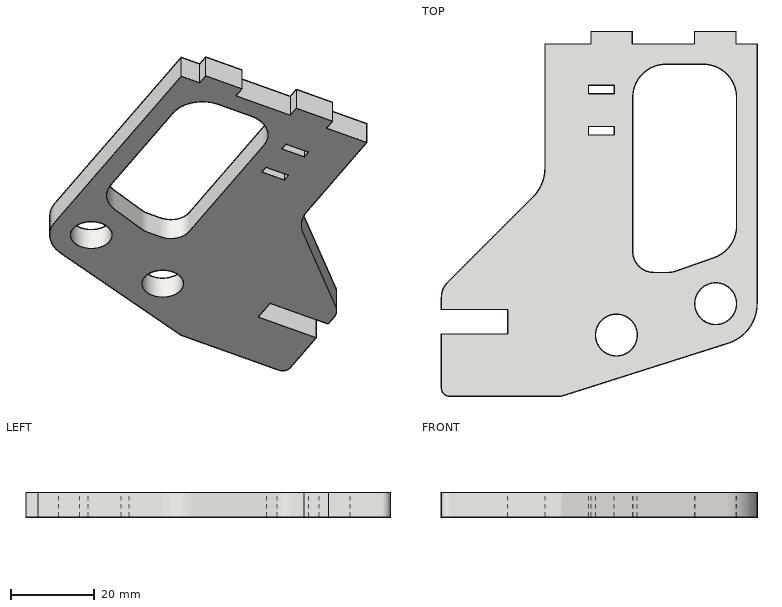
import cadquery as cq
import math

width = 76.0
height = 87.8
thickness = 6.0
tab_height = 3.0
shoulder_y = height - tab_height
neck_x = 24.9
slope_start_y = 25.9
slope_end_y = slope_start_y + neck_x
flank_top_radius = 10.0
flank_bottom_radius = 5.0
foot_length = 28.9
foot_radius = 2.0

tab_width = 10.0
tab_left_edges = (36.0, 60.9)

hole_diameter = 10.0
corner_radius = 10.0
right_hole = (width - corner_radius, 22.3)
left_hole = (42.15, 14.75)

notch_depth = 16.0
notch_bottom_y = 15.0
notch_height = 5.9

slot_length = 6.15
slot_height = 2.0
slot_center_x = 38.55
slot_centers_y = (73.8, 63.9)

window_left = 46.1
window_right = 71.0
window_top = 79.9
window_bottom = 29.85
window_slope_x = 55.6
window_slope_y = 35.3
window_large_radius = 8.0
window_small_radius = 5.0


def prism(points):
    return cq.Workplane("XY").polyline(points).close().extrude(thickness)


def block(left, bottom, length, depth):
    return cq.Workplane("XY").box(length, depth, thickness, centered=False).translate((left, bottom, 0))


def round_corner(body, point, radius):
    """Fillet the vertical edge standing on the given XY point."""
    nearest = cq.selectors.NearestToPointSelector((*point, thickness / 2))
    return body.edges("|Z").edges(nearest).fillet(radius)


def make_plate():
    run = right_hole[0] - foot_length
    rise = right_hole[1]
    edge_angle = math.atan2(rise, run) - math.asin(corner_radius / math.hypot(run, rise))
    right_corner_y = (width - foot_length) * math.tan(edge_angle)

    corner_radii = {
        (0, 0): foot_radius,
        (foot_length, 0): foot_radius,
        (width, right_corner_y): corner_radius,
        (width, shoulder_y): 0,
        (neck_x, shoulder_y): 0,
        (neck_x, slope_end_y): flank_top_radius,
        (0, slope_start_y): flank_bottom_radius,
    }
    return rounded_prism(corner_radii)


def make_window():
    corner_radii = {
        (window_left, window_bottom): window_small_radius,
        (window_slope_x, window_bottom): window_small_radius,
        (window_right, window_slope_y): window_large_radius,
        (window_right, window_top): window_large_radius,
        (window_left, window_top): window_large_radius,
    }
    return rounded_prism(corner_radii)


def rounded_prism(corner_radii):
    """Prism over the corner points, each rounded by its radius (0 stays sharp)."""
    body = prism(list(corner_radii))
    for point, radius in corner_radii.items():
        if radius > 0:
            body = round_corner(body, point, radius)
    return body


result = make_plate()
for tab_left in tab_left_edges:
    result = result.union(block(tab_left, shoulder_y, tab_width, tab_height))

result = result.cut(make_window())
result = result.cut(block(0, notch_bottom_y, notch_depth, notch_height))

for slot_y in slot_centers_y:
    slot_left = slot_center_x - slot_length / 2
    result = result.cut(block(slot_left, slot_y - slot_height / 2, slot_length, slot_height))

holes = cq.Workplane("XY").pushPoints([left_hole, right_hole]).circle(hole_diameter / 2).extrude(thickness)
result = result.cut(holes)